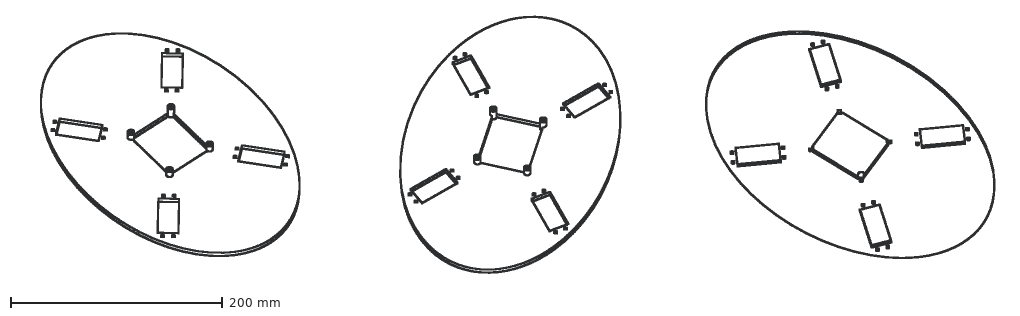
import cadquery as cq

plate_length = 300.0
plate_width = 200.0
plate_thickness = 5.0

window_length = 58.5
window_width = 49.5
standoff_spacing_x = 58.0
standoff_spacing_y = 49.0
standoff_diameter = 6.3
standoff_hole_diameter = 3.0
total_height = 12.5

pocket_length = 41.0
pocket_width = 19.5
pocket_center_x = 67.0
pocket_center_y = 56.7
pocket_angle = 40.0
screw_spacing_along = 48.5
screw_spacing_across = 10.2
screw_hole_diameter = 2.75


def make_plate():
    outline = cq.Workplane("XY").ellipse(plate_length / 2, plate_width / 2)
    return outline.extrude(plate_thickness)


def make_window():
    return cq.Workplane("XY").rect(window_length, window_width).extrude(plate_thickness)


def standoff_cylinders(diameter):
    """Full-height cylinders on the four standoff axes."""
    corners = cq.Workplane("XY").rect(standoff_spacing_x, standoff_spacing_y, forConstruction=True)
    return corners.vertices().circle(diameter / 2).extrude(total_height)


def make_pocket_cutter(side_x, side_y):
    """Through pocket and its screw holes in the quadrant given by two signs."""
    pocket = cq.Workplane("XY").rect(pocket_length, pocket_width).extrude(plate_thickness)
    screw_holes = (
        cq.Workplane("XY")
        .rect(screw_spacing_along, screw_spacing_across, forConstruction=True)
        .vertices()
        .circle(screw_hole_diameter / 2)
        .extrude(plate_thickness)
    )
    return (
        pocket.add(screw_holes)
        .combine()
        .rotate((0, 0, 0), (0, 0, 1), side_x * side_y * pocket_angle)
        .translate((side_x * pocket_center_x, side_y * pocket_center_y, 0))
    )


result = make_plate().cut(make_window())
for side_x in (-1, 1):
    for side_y in (-1, 1):
        result = result.cut(make_pocket_cutter(side_x, side_y))

result = result.union(standoff_cylinders(standoff_diameter))
result = result.cut(standoff_cylinders(standoff_hole_diameter))